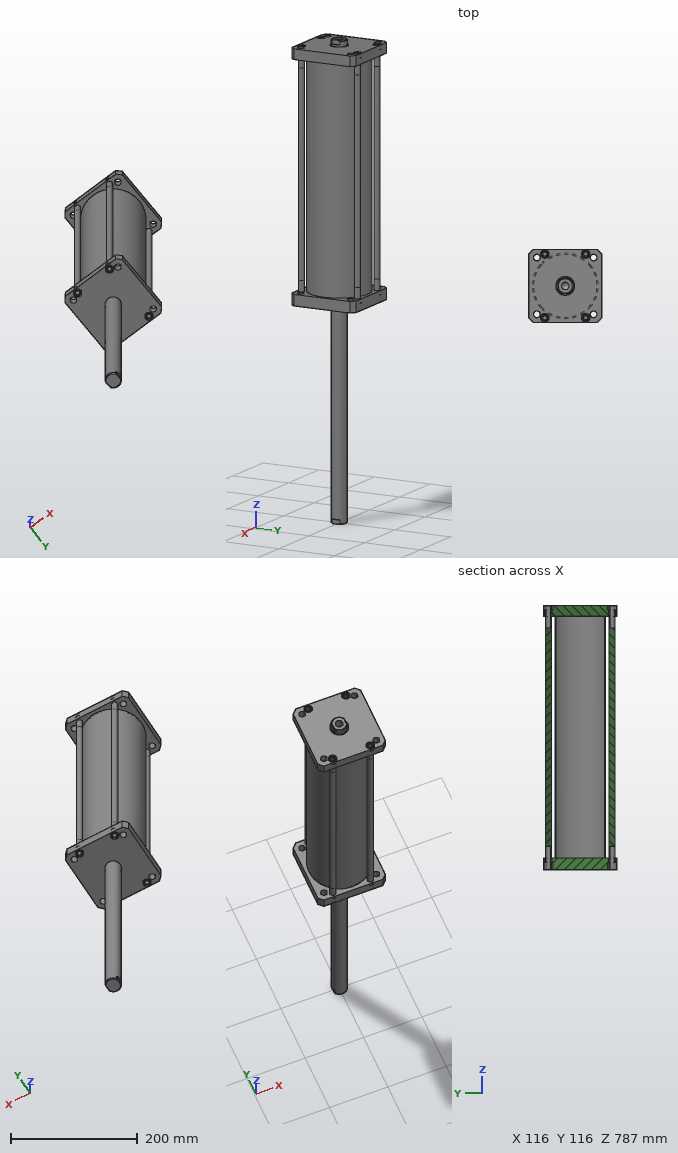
import cadquery as cq
import math

total_length = 787.0
rod_reach = 359.0
bottom_plate_thickness = 19.0
tube_length = 382.0
top_plate_thickness = 17.0
bottom_plate_z = rod_reach
tube_z = bottom_plate_z + bottom_plate_thickness
top_plate_z = tube_z + tube_length
top_face_z = top_plate_z + top_plate_thickness

plate_width = 116.0
corner_circle_diameter = 153.5
corner_hole_diameter = 10.0
corner_hole_offset = 45.0

tie_x = 32.0
tie_y = 50.0
tie_diameter = 10.0
tie_end_setback = 1.0
thread_diameter = 6.6
thread_reach_past_plate = 18.0
tie_bottom_z = bottom_plate_z + tie_end_setback
tie_top_z = top_face_z - tie_end_setback

recess_diameter = 13.0
top_recess_depth = 7.0
bottom_recess_depth = 12.0

tube_diameter = 104.0
tube_bore = 100.0

rod_diameter = 26.0
rod_end_chamfer = 1.5
flat_width = 21.0
top_flat_length = 7.0
bottom_flat_length = 8.0
rod_hole_diameter = 12.0
rod_hole_depth = 20.0
drill_half_angle = 59.0

bushing_diameter = 30.0


def four_points(x, y):
    """Points mirrored about both axes."""
    return [(sx * x, sy * y) for sx in (-1, 1) for sy in (-1, 1)]


tie_points = four_points(tie_x, tie_y)
corner_points = four_points(corner_hole_offset, corner_hole_offset)
axis_point = [(0, 0)]


def cylinders(diameter, z_low, z_high, points=axis_point):
    """Upright cylinders between two heights, one at each point."""
    base = cq.Workplane("XY", origin=(0, 0, z_low)).pushPoints(points)
    return base.circle(diameter / 2).extrude(z_high - z_low)


def build_plate(z_low, z_high, recess_low, recess_high, center_diameter):
    """End plate with corner holes, recessed tie rod holes and a central bore."""
    plate = cq.Workplane("XY", origin=(0, 0, z_low)).rect(plate_width, plate_width).extrude(z_high - z_low)
    plate = plate.intersect(cylinders(corner_circle_diameter, z_low, z_high))
    plate = plate.cut(cylinders(corner_hole_diameter, z_low, z_high, corner_points))
    plate = plate.cut(cylinders(tie_diameter, z_low, z_high, tie_points))
    plate = plate.cut(cylinders(recess_diameter, recess_low, recess_high, tie_points))
    return plate.cut(cylinders(center_diameter, z_low, z_high))


def build_tube():
    top_z = tube_z + tube_length
    return cylinders(tube_diameter, tube_z, top_z).cut(cylinders(tube_bore, tube_z, top_z))


def build_tie_rod(point):
    tie_rod = cylinders(tie_diameter, tie_bottom_z, tie_top_z, [point])
    lower_thread = cylinders(thread_diameter, tie_bottom_z, tube_z + thread_reach_past_plate, [point])
    upper_thread = cylinders(thread_diameter, top_plate_z - thread_reach_past_plate, tie_top_z, [point])
    return tie_rod.cut(lower_thread).cut(upper_thread)


def wrench_flats(z_low, z_high):
    """Material to remove outside the two flats of one rod end."""
    kept = cq.Workplane("XY", origin=(0, 0, z_low)).rect(flat_width, 2 * rod_diameter).extrude(z_high - z_low)
    return cylinders(2 * rod_diameter, z_low, z_high).cut(kept)


def center_hole():
    """Drilled hole in the top of the rod, ending in a cone."""
    hole_radius = rod_hole_diameter / 2
    shoulder_z = total_length - rod_hole_depth
    tip_z = shoulder_z - hole_radius / math.tan(math.radians(drill_half_angle))
    profile = cq.Workplane("XZ").polyline([
        (0, tip_z), (hole_radius, shoulder_z), (hole_radius, total_length), (0, total_length),
    ])
    return profile.close().revolve(360, (0, 0), (0, 1))


def build_piston_rod():
    rod = cylinders(rod_diameter, 0, total_length).faces("<Z or >Z").chamfer(rod_end_chamfer)
    rod = rod.cut(wrench_flats(0, bottom_flat_length))
    rod = rod.cut(wrench_flats(total_length - top_flat_length, total_length))
    return rod.cut(center_hole())


def build_bushing():
    outside = cylinders(bushing_diameter, top_plate_z, top_face_z)
    return outside.cut(cylinders(rod_diameter, top_plate_z, top_face_z))


bottom_plate = build_plate(
    bottom_plate_z, tube_z, bottom_plate_z, bottom_plate_z + bottom_recess_depth, rod_diameter
)
top_plate = build_plate(
    top_plate_z, top_face_z, top_face_z - top_recess_depth, top_face_z, bushing_diameter
)
tube = build_tube()
piston_rod = build_piston_rod()
bushing = build_bushing()
tie_rods = [build_tie_rod(point).val() for point in tie_points]

result = cq.Compound.makeCompound([
    bottom_plate.val(),
    top_plate.val(),
    tube.val(),
    piston_rod.val(),
    bushing.val(),
    *tie_rods,
])